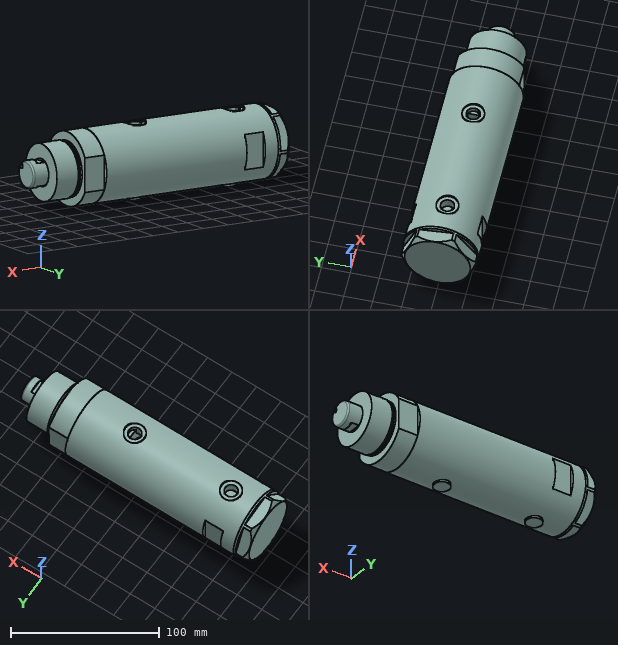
import cadquery as cq
import math


hex_end = 8.8
housing_start = 10.5
plug_end = 37.2
spigot_start = 110.8
housing_end = 147.8
collar_end = 163.3
nose_end = 183.7
total_length = 196.0

housing_diameter = 52.0
housing_radius = housing_diameter / 2
bore_radius = 17.6
spigot_radius = 21.4
rod_radius = 9.6
collar_radius = 25.9

flats_half_width = 23.0
housing_flats_start = 21.0
housing_flats_length = 14.7

port_positions = [30.2, 108.8]
port_diameter = 9.5
spotface_diameter = 15.3
spotface_height = 24.7

pad_positions = [35.0, 111.3]
pad_diameter = 12.3
overall_height = 53.1
pad_height = overall_height - housing_radius

hex_flat_distance = 45.9
hex_corner_radius = 25.9
hex_turn = -7.0
cap_face_radius = 22.7

nose_radius = 20.0
shoulder_radius = 19.6
relief_radius = 19.0
relief_entry_length = 1.0
relief_length = 0.8
relief_exit_length = 1.5

tip_flats_half_width = 8.0
tip_flats_end = 189.7
tip_round = 1.2
pip_diameter = 3.1
pip_length = 0.2
pip_y = -5.3
pip_z = 4.9
rod_end = total_length - pip_length


def cylinder_x(start, end, radius):
    """Solid cylinder on the X axis."""
    plane = cq.Plane(origin=(start, 0, 0), xDir=(0, 0, 1), normal=(1, 0, 0))
    return cq.Workplane(plane).circle(radius).extrude(end - start)


def side_slabs(start, length):
    """Two blocks beyond Y = +-flats_half_width that cut a pair of wrench flats."""
    depth = housing_radius
    slabs = cq.Workplane("XY")
    for side in (-1, 1):
        centre = (start + length / 2, side * (flats_half_width + depth / 2), 0)
        slabs = slabs.add(cq.Workplane("XY").box(length, depth, housing_diameter).translate(centre))
    return slabs.combine()


def make_cap():
    """Hexagonal cap with a chamfered face, a flange and a plug that closes the bore."""
    corner_distance = hex_flat_distance / math.cos(math.pi / 6)
    hexagon = (
        cq.Workplane("YZ")
        .polygon(6, corner_distance)
        .extrude(hex_end)
        .rotate((0, 0, 0), (1, 0, 0), hex_turn)
    )
    turned_blank = cylinder_x(0, hex_end, hex_corner_radius).faces("<X").chamfer(
        hex_corner_radius - cap_face_radius
    )
    flange = cylinder_x(hex_end, housing_start, collar_radius)
    plug = cylinder_x(housing_start, plug_end, bore_radius)
    return hexagon.intersect(turned_blank).union(flange).union(plug)


def make_housing():
    """Counterbored tube with wrench flats, two spotfaced ports on top and two round pads below."""
    housing = cylinder_x(housing_start, housing_end, housing_radius)
    housing = housing.cut(side_slabs(housing_flats_start, housing_flats_length))
    for x in pad_positions:
        pad = cq.Workplane("XY", origin=(x, 0, -pad_height)).circle(pad_diameter / 2).extrude(pad_height)
        housing = housing.union(pad)
    for x in port_positions:
        port = cq.Workplane("XY", origin=(x, 0, 0)).circle(port_diameter / 2).extrude(housing_radius)
        spotface = (
            cq.Workplane("XY", origin=(x, 0, spotface_height))
            .circle(spotface_diameter / 2)
            .extrude(housing_radius - spotface_height)
        )
        housing = housing.cut(port).cut(spotface)
    bore = cylinder_x(housing_start, housing_end, bore_radius)
    counterbore = cylinder_x(spigot_start, housing_end, spigot_radius)
    return housing.cut(bore).cut(counterbore)


def make_end_fitting():
    """Turned end piece: spigot in the counterbore, collar with wrench flats, relief and nose."""
    relief_start = collar_end + relief_entry_length
    relief_end = relief_start + relief_length
    profile = [
        (spigot_start, rod_radius),
        (spigot_start, spigot_radius),
        (housing_end, spigot_radius),
        (housing_end, collar_radius),
        (collar_end, collar_radius),
        (collar_end, shoulder_radius),
        (relief_start, relief_radius),
        (relief_end, relief_radius),
        (relief_end + relief_exit_length, nose_radius),
        (nose_end, nose_radius),
        (nose_end, rod_radius),
    ]
    fitting = cq.Workplane("XZ").polyline(profile).close().revolve(360, (0, 0, 0), (1, 0, 0))
    return fitting.cut(side_slabs(housing_end, collar_end - housing_end))


def make_rod():
    """Round rod with two flats beside the nose, a rounded tip and a small off-centre pip."""
    rod = cylinder_x(plug_end, rod_end, rod_radius).faces(">X").edges().fillet(tip_round)
    flats_length = tip_flats_end - nose_end
    slab_depth = rod_radius
    for side in (-1, 1):
        centre = (
            nose_end + flats_length / 2,
            0,
            side * (tip_flats_half_width + slab_depth / 2),
        )
        rod = rod.cut(cq.Workplane("XY").box(flats_length, 2 * rod_radius, slab_depth).translate(centre))
    pip_root = rod_end - tip_round
    pip = (
        cq.Workplane("YZ", origin=(pip_root, pip_y, pip_z))
        .circle(pip_diameter / 2)
        .extrude(total_length - pip_root)
    )
    return rod.union(pip)


cap = make_cap()
housing = make_housing()
end_fitting = make_end_fitting()
rod = make_rod()

result = cq.Compound.makeCompound([cap.val(), housing.val(), end_fitting.val(), rod.val()])